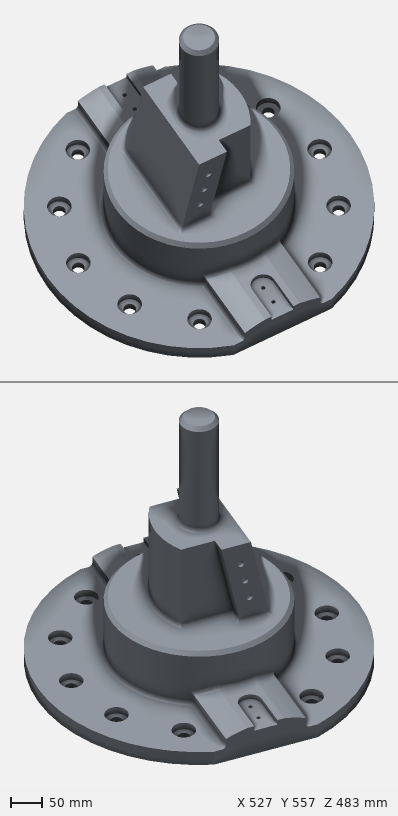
import cadquery as cq
import math

flange_radius = 278.5
flange_width = 527.0
flange_thickness = 25.5
bolt_circle_radius = 221.5
bolt_angle_step = 30
bolt_hole_diameter = 20.0
bolt_head_diameter = 39.0
bolt_head_depth = 13.0

hub_radius = 151.5
hub_top = 126.5
block_top = 279.0
shaft_diameter = 64.0
shaft_top = 483.0
foot_fillet = 7.0
rim_chamfer = 6.5

rail_half_width = 69.0
rail_flat_half_width = 32.0
rail_edge_height = 44.5
rail_top = 55.0
rail_slot_width = 40.0
rail_slot_depth = 9.0

body_half_width = 62.5
body_corner_y = 58.5
body_back_y = 76.5
plate_width = 176.5
plate_thickness = 51.0
plate_lean_angle = 12

drill_point_angle = 118
rail_tap_diameter = 6.5
rail_tap_depth = 20.0
rail_tap_inset = 29.0
rail_tap_spacing = 32.0
plate_tap_diameter = 11.0
plate_tap_depth = 20.0
plate_tap_spacing = 35.0
plate_tap_lift = 2.5

selection_margin = 0.5

half_length = flange_width / 2
shaft_radius = shaft_diameter / 2
plate_half_width = plate_width / 2
rail_outer_tap_x = half_length - rail_tap_inset
rail_slot_center_x = rail_outer_tap_x - rail_tap_spacing
plate_lean = math.tan(math.radians(plate_lean_angle))


def drilled_hole(diameter, depth, start, direction):
    """Blind hole with a conical bottom, starting at a point on a face."""
    radius = diameter / 2
    point_length = radius / math.tan(math.radians(drill_point_angle / 2))
    start = cq.Vector(*start)
    direction = cq.Vector(*direction)
    barrel = cq.Solid.makeCylinder(radius, depth, start, direction)
    point = cq.Solid.makeCone(radius, 0, point_length, start + direction * depth, direction)
    return cq.Workplane(barrel).union(cq.Workplane(point))


def make_flange():
    disc = cq.Workplane("XY").circle(flange_radius).extrude(flange_thickness)
    flats = cq.Workplane("XY").rect(flange_width, 2 * flange_radius).extrude(flange_thickness)
    return disc.intersect(flats)


def make_rail():
    rise = rail_top - rail_edge_height
    run_squares = rail_half_width**2 - rail_flat_half_width**2
    center_z = (rail_top + rail_edge_height) / 2 - run_squares / (2 * rise)
    shoulder_radius = math.hypot(rail_half_width, rail_edge_height - center_z)
    middle_y = (rail_half_width + rail_flat_half_width) / 2
    middle_z = center_z + math.sqrt(shoulder_radius**2 - middle_y**2)
    return (
        cq.Workplane("YZ", origin=(-half_length, 0, 0))
        .moveTo(-rail_half_width, 0)
        .lineTo(-rail_half_width, rail_edge_height)
        .threePointArc((-middle_y, middle_z), (-rail_flat_half_width, rail_top))
        .lineTo(rail_flat_half_width, rail_top)
        .threePointArc((middle_y, middle_z), (rail_half_width, rail_edge_height))
        .lineTo(rail_half_width, 0)
        .close()
        .extrude(flange_width)
    )


def edges_within(half_x, half_y, bottom, top):
    """Selector for edges lying wholly inside a box centred on the Z axis."""
    return cq.selectors.BoxSelector(
        (-half_x - selection_margin, -half_y - selection_margin, bottom - selection_margin),
        (half_x + selection_margin, half_y + selection_margin, top + selection_margin),
        boundingbox=True,
    )


def make_base():
    """Flange, rail and hub, blended where they meet and chamfered at the hub rim."""
    hub = cq.Workplane("XY").circle(hub_radius).extrude(hub_top)
    base = make_flange().union(make_rail()).union(hub)
    hub_foot = edges_within(hub_radius, hub_radius, flange_thickness, rail_top)
    rail_foot = edges_within(half_length, rail_half_width, flange_thickness, flange_thickness)
    base = base.edges(hub_foot + rail_foot).fillet(foot_fillet)
    return base.faces(">Z").edges().chamfer(rim_chamfer)


def make_block():
    height = block_top - hub_top
    foot_shift = height * plate_lean
    body_front_y = -(plate_thickness + foot_shift) / 2
    body = (
        cq.Workplane("XY", origin=(0, 0, hub_top))
        .moveTo(-body_half_width, body_front_y)
        .lineTo(-body_half_width, body_corner_y)
        .threePointArc((0, body_back_y), (body_half_width, body_corner_y))
        .lineTo(body_half_width, body_front_y)
        .close()
        .extrude(height)
    )
    plate = (
        cq.Workplane("YZ", origin=(-plate_half_width, 0, 0))
        .moveTo(0, block_top)
        .lineTo(-plate_thickness, block_top)
        .lineTo(-plate_thickness - foot_shift, hub_top)
        .lineTo(-foot_shift, hub_top)
        .close()
        .extrude(plate_width)
    )
    return body.union(plate)


def make_shaft():
    shaft = cq.Workplane("XY", origin=(0, 0, block_top)).circle(shaft_radius)
    return shaft.extrude(shaft_top - block_top).faces(">Z").edges().chamfer(rim_chamfer)


def make_bolt_holes():
    head_bottom = flange_thickness - bolt_head_depth
    shank = cq.Workplane("XY").circle(bolt_hole_diameter / 2).extrude(flange_thickness)
    head = (
        cq.Workplane("XY", origin=(0, 0, head_bottom))
        .circle(bolt_head_diameter / 2)
        .extrude(bolt_head_depth)
    )
    bolt_hole = shank.union(head).translate((bolt_circle_radius, 0, 0))
    holes = cq.Workplane("XY")
    for angle in range(0, 360, bolt_angle_step):
        under_rail = angle % 180 == 0
        if not under_rail:
            holes = holes.add(bolt_hole.rotate((0, 0, 0), (0, 0, 1), angle))
    return holes.combine()


def make_rail_slot(side):
    """Open-ended slot with two tapping holes, at the -X (side -1) or +X (side 1) end."""
    slot_floor = rail_top - rail_slot_depth
    run = half_length - rail_slot_center_x
    slot = (
        cq.Workplane("XY", origin=(side * rail_slot_center_x, 0, slot_floor))
        .circle(rail_slot_width / 2)
        .extrude(rail_slot_depth)
        .union(
            cq.Workplane("XY", origin=(side * (rail_slot_center_x + run / 2), 0, slot_floor))
            .rect(run, rail_slot_width)
            .extrude(rail_slot_depth)
        )
    )
    for tap_x in (rail_outer_tap_x, rail_slot_center_x):
        start = (side * tap_x, 0, slot_floor)
        slot = slot.union(drilled_hole(rail_tap_diameter, rail_tap_depth, start, (0, 0, -1)))
    return slot


def make_plate_taps(side):
    """Row of tapping holes down one side face of the leaning plate."""
    taps = cq.Workplane("XY")
    middle_z = (block_top + hub_top) / 2 + plate_tap_lift
    for step in (-1, 0, 1):
        tap_z = middle_z + step * plate_tap_spacing
        tap_y = -plate_thickness / 2 - (block_top - tap_z) * plate_lean
        start = (side * plate_half_width, tap_y, tap_z)
        taps = taps.add(drilled_hole(plate_tap_diameter, plate_tap_depth, start, (-side, 0, 0)))
    return taps.combine()


block_foot = edges_within(plate_half_width, plate_half_width, hub_top, hub_top)
shaft_foot = edges_within(shaft_radius, shaft_radius, block_top, block_top)

result = make_base().union(make_block()).edges(block_foot).fillet(foot_fillet)
result = result.union(make_shaft()).edges(shaft_foot).fillet(foot_fillet)
result = result.cut(make_bolt_holes())
for side in (-1, 1):
    result = result.cut(make_rail_slot(side)).cut(make_plate_taps(side))